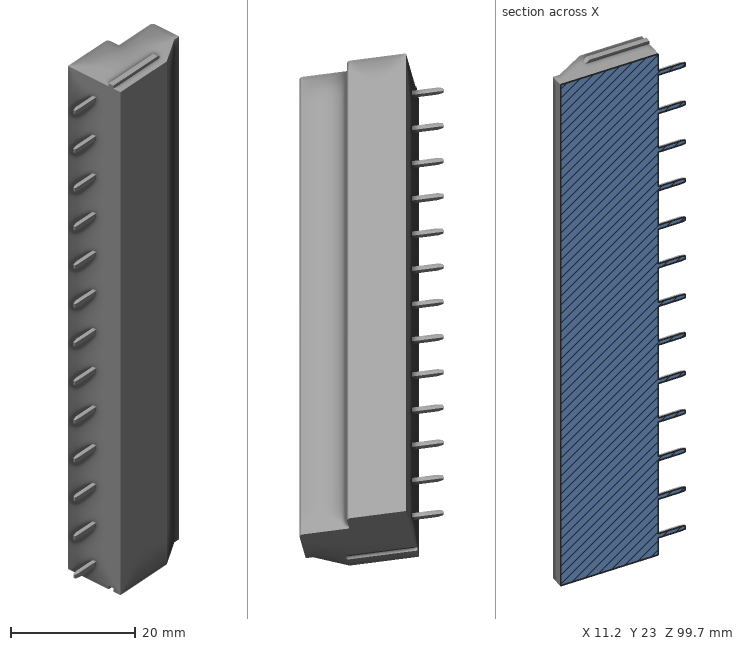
import cadquery as cq

pole_count = 13
pitch = 7.62
body_width = 11.2
body_depth = 18.0
body_height = pole_count * pitch

step_width = 2.4
shelf_y = 9.75
shoulder_x = 8.1
shoulder_y = 16.8
slope_end_y = 11.4
edge_radius = 0.6

rib_x = 9.2
rib_width = 1.0
rib_length = 11.7
rib_ramp_length = 0.75
rib_height = 0.6
groove_depth = 0.7

pin_x = 5.7
pin_width = 0.7
pin_thickness = 0.9
pin_length = 5.0
pin_tip_length = 0.9
pin_tip_width = 0.4
pin_tip_thickness = 0.7
first_pin_z = pitch / 2


def make_housing():
    """Stepped and sloped profile, extruded along the row of poles."""
    return (
        cq.Workplane("XY")
        .lineTo(body_width, 0)
        .lineTo(body_width, slope_end_y)
        .lineTo(shoulder_x, shoulder_y)
        .lineTo(shoulder_x, body_depth)
        .lineTo(step_width + edge_radius, body_depth)
        .radiusArc((step_width, body_depth - edge_radius), -edge_radius)
        .lineTo(step_width, shelf_y)
        .lineTo(edge_radius, shelf_y)
        .radiusArc((0, shelf_y - edge_radius), -edge_radius)
        .close()
        .extrude(body_height)
    )


def make_key(bottom_z, height):
    """Bar along Y that starts at the pin face and ends in a half round."""
    radius = rib_width / 2
    return (
        cq.Workplane("XY", origin=(rib_x, 0, bottom_z))
        .moveTo(-radius, 0)
        .lineTo(radius, 0)
        .lineTo(radius, rib_length - radius)
        .threePointArc((0, rib_length), (-radius, rib_length - radius))
        .close()
        .extrude(height)
    )


def make_rib():
    """Key on the +Z end whose rounded end slopes down to the housing."""
    top_z = body_height + rib_height
    side_profile = [
        (0, body_height),
        (rib_length, body_height),
        (rib_length - rib_ramp_length, top_z),
        (0, top_z),
    ]
    envelope = cq.Workplane("YZ").polyline(side_profile).close().extrude(body_width)
    return make_key(body_height, rib_height).intersect(envelope)


def make_pin(center_z):
    """Rectangular pin pointing to -Y with a tapered tip."""
    shank_length = pin_length - pin_tip_length
    shank = (
        cq.Workplane("XZ", origin=(pin_x, 0, center_z))
        .rect(pin_width, pin_thickness)
        .extrude(shank_length)
    )
    tip = (
        cq.Workplane("XZ", origin=(pin_x, -shank_length, center_z))
        .rect(pin_width, pin_thickness)
        .workplane(offset=pin_tip_length)
        .rect(pin_tip_width, pin_tip_thickness)
        .loft(ruled=True)
    )
    return shank.union(tip)


result = make_housing()
result = result.cut(make_key(0, groove_depth))
result = result.union(make_rib())
for pole in range(pole_count):
    result = result.union(make_pin(first_pin_z + pole * pitch))